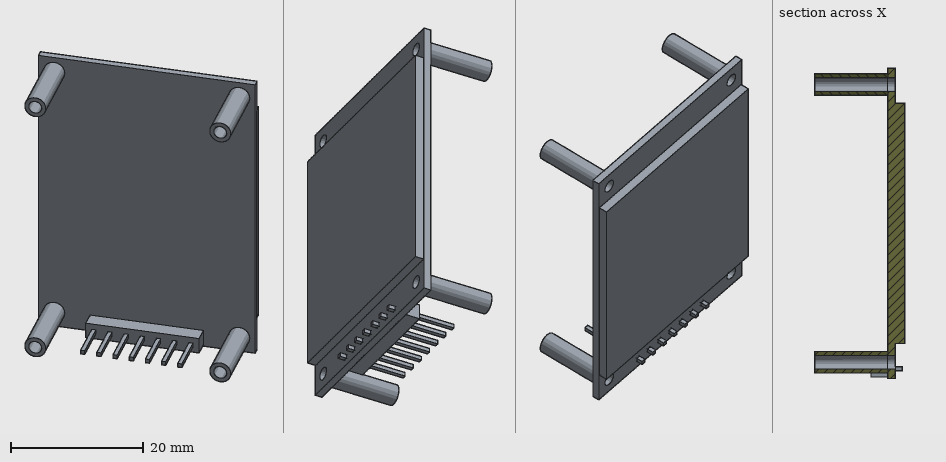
import cadquery as cq

board_width = 34.0
board_height = 47.0
board_thickness = 1.18

overall_depth = 13.65

screen_width = 33.7
screen_height = 36.4

standoff_length = 11.05
standoff_diameter = 3.3
hole_diameter = 2.0
hole_inset = 2.5
hole_spacing_x = board_width - 2 * hole_inset
hole_spacing_z = board_height - 2 * hole_inset

pin_count = 7
pin_pitch = 2.55
pin_size = 0.65
pin_front_reach = 9.02
pin_back_reach = 1.05
header_edge_gap = 0.25
header_depth = 2.55
header_height = pin_pitch
header_width = pin_count * pin_pitch

screen_thickness = overall_depth - board_thickness - standoff_length
header_z = -board_height / 2 + header_edge_gap + header_height / 2
hole_places = [
    (side_x * hole_spacing_x / 2, side_z * hole_spacing_z / 2)
    for side_x in (-1, 1)
    for side_z in (-1, 1)
]
pin_places = [(index - (pin_count - 1) / 2) * pin_pitch for index in range(pin_count)]


def block(width, height, y_start, y_end, x=0.0, z=0.0):
    """Block centred on (x, z) that runs from y_start to y_end."""
    depth = y_end - y_start
    return cq.Workplane("XY").box(width, depth, height).translate((x, y_start + depth / 2, z))


def rod(diameter, y_start, y_end, x, z):
    """Round rod along Y centred on (x, z)."""
    circle = cq.Workplane("XZ", origin=(x, y_start, z)).circle(diameter / 2)
    return circle.extrude(y_start - y_end)


def make_pin(x):
    """Square pin that runs from its free tip in front to its short end behind the board."""
    pin_back = board_thickness + pin_back_reach
    return block(pin_size, pin_size, -pin_front_reach, pin_back, x, header_z)


def make_board():
    """Plate with four mounting holes and a square hole for each pin."""
    board = block(board_width, board_height, 0, board_thickness)
    for x, z in hole_places:
        board = board.cut(rod(hole_diameter, 0, board_thickness, x, z))
    for x in pin_places:
        board = board.cut(make_pin(x))
    return board


def make_screen():
    """Flat block on the back of the board."""
    screen_back = board_thickness + screen_thickness
    return block(screen_width, screen_height, board_thickness, screen_back)


def make_header():
    """Strip on the front of the board with its row of pins."""
    header = block(header_width, header_height, -header_depth, 0, 0, header_z)
    for x in pin_places:
        header = header.union(make_pin(x))
    return header


def make_standoff(x, z):
    """Tube on the front of the board, bored to match the mounting hole."""
    tube = rod(standoff_diameter, -standoff_length, 0, x, z)
    return tube.cut(rod(hole_diameter, -standoff_length, 0, x, z))


display_module = make_board().union(make_screen())
header = make_header()
standoffs = [make_standoff(x, z) for x, z in hole_places]

result = cq.Compound.makeCompound(
    [display_module.val(), header.val(), *[standoff.val() for standoff in standoffs]]
)